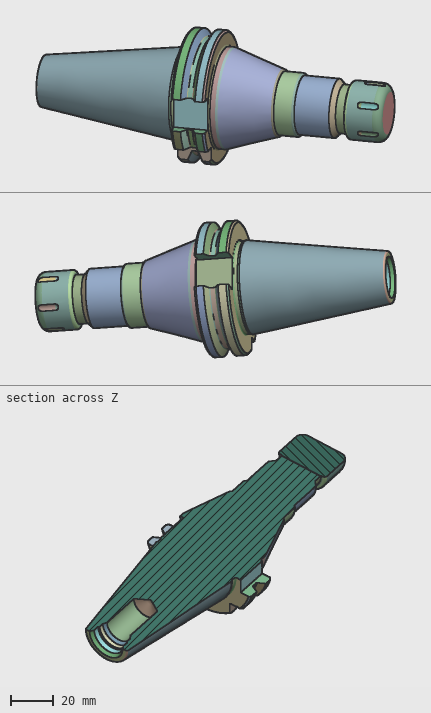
import cadquery as cq
import math

OVERALL_LENGTH = 168.2

TAPER_RATIO = 7 / 24
TAPER_END_X = 67.5
TAPER_LARGE_RADIUS = 22.2
TAPER_SMALL_RADIUS = TAPER_LARGE_RADIUS - TAPER_END_X * TAPER_RATIO / 2
SHANK_EDGE_ROUND = 0.8
RELIEF_START_X = 68.5
RELIEF_RADIUS = 21.9
RELIEF_ROOT_ROUND = 0.7

BORE_MOUTH_RADIUS = 9.8
COUNTERBORE_RADIUS = 8.5
COUNTERBORE_START_X = 2.0
COUNTERBORE_END_X = 5.0
THREAD_RADIUS = 16.0 / 2
THREAD_START_X = 5.5
THREAD_END_X = 7.9
BORE_RADIUS = 6.9
BORE_START_X = 9.8
BORE_END_X = 30.3
DRILL_POINT_ANGLE = 118.0

FLANGE_START_X = 70.8
FLANGE_END_X = 87.3
FLANGE_RADIUS = 63.5 / 2
FLANGE_CHAMFER = 1.0
GROOVE_CENTRE_X = 79.2
GROOVE_RADIUS = 56.0 / 2
GROOVE_TOP_WIDTH = 7.0
GROOVE_FLANK_ANGLE = 30.0
GROOVE_ROOT_ROUND = 0.5

DRIVE_SLOT_WIDTH = 15.6
FRONT_SLOT_FLOOR_Y = -25.0
BACK_SLOT_FLOOR_Y = 22.4
NOTCH_CORNER_Y = -18.5
NOTCH_CORNER_Z = -18.5
NOTCH_CORNER_ROUND = 0.8

COLLAR_RADIUS = 48.3 / 2
COLLAR_ROOT_ROUND = 0.8
COLLAR_BEVEL_X = 90.7
CONE_START_X = 91.9
CONE_START_RADIUS = 23.9
CONE_END_X = 115.6
CONE_END_RADIUS = 16.2
FIRST_STEP_RADIUS = 15.1
FIRST_STEP_END_X = 125.2
SECOND_STEP_RADIUS = 28.1 / 2
NECK_RADIUS = 11.6
NECK_BEVEL_START_X = 143.2
NECK_START_X = 145.7

NUT_START_X = 150.0
NUT_RADIUS = SECOND_STEP_RADIUS
NUT_BACK_ROUND = 1.5
NUT_NOSE_ROUND = 4.0

WRENCH_SLOT_COUNT = 6
WRENCH_SLOT_START_X = 156.6
WRENCH_SLOT_WIDTH = 3.2
WRENCH_SLOT_DEPTH = 0.75


def revolve_about_x(profile):
    return profile.close().revolve(360, (0, 0, 0), (1, 0, 0))


def round_edge_circle(body, x, radius, round_radius):
    """Fillet the circular edge of the given radius that lies at the given x."""
    tolerance = 0.02

    def is_wanted(edge):
        at_x = abs(edge.Center().x - x) < tolerance
        return at_x and abs(edge.radius() - radius) < tolerance

    return body.edges("%CIRCLE").filter(is_wanted).fillet(round_radius)


def box_between(x_range, y_range, z_range):
    low, high = zip(x_range, y_range, z_range)
    size = [b - a for a, b in zip(low, high)]
    return cq.Workplane("XY").box(*size, centered=False).translate(low)


def make_turned_holder():
    groove_half_top = GROOVE_TOP_WIDTH / 2
    groove_depth = FLANGE_RADIUS - GROOVE_RADIUS
    groove_half_floor = groove_half_top - groove_depth * math.tan(math.radians(GROOVE_FLANK_ANGLE))
    first_cove = CONE_END_RADIUS - FIRST_STEP_RADIUS
    second_cove = FIRST_STEP_RADIUS - SECOND_STEP_RADIUS
    rim_corner_radius = FLANGE_RADIUS - FLANGE_CHAMFER
    profile = (
        cq.Workplane("XY")
        .lineTo(0, TAPER_SMALL_RADIUS)
        .lineTo(TAPER_END_X, TAPER_LARGE_RADIUS)
        .lineTo(RELIEF_START_X, RELIEF_RADIUS)
        .lineTo(FLANGE_START_X, RELIEF_RADIUS)
        .lineTo(FLANGE_START_X, rim_corner_radius)
        .lineTo(FLANGE_START_X + FLANGE_CHAMFER, FLANGE_RADIUS)
        .lineTo(GROOVE_CENTRE_X - groove_half_top, FLANGE_RADIUS)
        .lineTo(GROOVE_CENTRE_X - groove_half_floor, GROOVE_RADIUS)
        .lineTo(GROOVE_CENTRE_X + groove_half_floor, GROOVE_RADIUS)
        .lineTo(GROOVE_CENTRE_X + groove_half_top, FLANGE_RADIUS)
        .lineTo(FLANGE_END_X - FLANGE_CHAMFER, FLANGE_RADIUS)
        .lineTo(FLANGE_END_X, rim_corner_radius)
        .lineTo(FLANGE_END_X, COLLAR_RADIUS)
        .lineTo(COLLAR_BEVEL_X, COLLAR_RADIUS)
        .lineTo(CONE_START_X, CONE_START_RADIUS)
        .lineTo(CONE_END_X, CONE_END_RADIUS)
        .radiusArc((CONE_END_X + first_cove, FIRST_STEP_RADIUS), first_cove)
        .lineTo(FIRST_STEP_END_X, FIRST_STEP_RADIUS)
        .radiusArc((FIRST_STEP_END_X + second_cove, SECOND_STEP_RADIUS), second_cove)
        .lineTo(NECK_BEVEL_START_X, SECOND_STEP_RADIUS)
        .lineTo(NECK_START_X, NECK_RADIUS)
        .lineTo(NUT_START_X, NECK_RADIUS)
        .lineTo(NUT_START_X, 0)
    )
    holder = revolve_about_x(profile)
    holder = holder.faces("<X").edges().fillet(SHANK_EDGE_ROUND)
    holder = round_edge_circle(holder, FLANGE_START_X, RELIEF_RADIUS, RELIEF_ROOT_ROUND)
    for side in (-1, 1):
        root_x = GROOVE_CENTRE_X + side * groove_half_floor
        holder = round_edge_circle(holder, root_x, GROOVE_RADIUS, GROOVE_ROOT_ROUND)
    return round_edge_circle(holder, FLANGE_END_X, COLLAR_RADIUS, COLLAR_ROOT_ROUND)


def make_drawbar_bore():
    point_length = BORE_RADIUS / math.tan(math.radians(DRILL_POINT_ANGLE / 2))
    profile = (
        cq.Workplane("XY")
        .lineTo(0, BORE_MOUTH_RADIUS)
        .lineTo(COUNTERBORE_START_X, COUNTERBORE_RADIUS)
        .lineTo(COUNTERBORE_END_X, COUNTERBORE_RADIUS)
        .lineTo(THREAD_START_X, THREAD_RADIUS)
        .lineTo(THREAD_END_X, THREAD_RADIUS)
        .lineTo(BORE_START_X, BORE_RADIUS)
        .lineTo(BORE_END_X, BORE_RADIUS)
        .lineTo(BORE_END_X + point_length, 0)
    )
    return revolve_about_x(profile)


def make_flange_cuts():
    flange_length = (FLANGE_START_X, FLANGE_END_X + COLLAR_ROOT_ROUND)
    slot_height = (-DRIVE_SLOT_WIDTH / 2, DRIVE_SLOT_WIDTH / 2)
    front_slot = box_between(flange_length, (-FLANGE_RADIUS, FRONT_SLOT_FLOOR_Y), slot_height)
    back_slot = box_between(flange_length, (BACK_SLOT_FLOOR_Y, FLANGE_RADIUS), slot_height)
    notch = box_between(
        flange_length, (-FLANGE_RADIUS, NOTCH_CORNER_Y), (-FLANGE_RADIUS, NOTCH_CORNER_Z)
    )
    notch = notch.edges("|X and >Y and >Z").fillet(NOTCH_CORNER_ROUND)
    return [front_slot, back_slot, notch]


def make_holder():
    holder = make_turned_holder().cut(make_drawbar_bore())
    for flange_cut in make_flange_cuts():
        holder = holder.cut(flange_cut)
    return holder


def make_wrench_slot():
    """Round-bottomed groove with a ball-shaped back end, at the top of the nut."""
    cutter_radius = (WRENCH_SLOT_WIDTH**2 / 4 + WRENCH_SLOT_DEPTH**2) / (2 * WRENCH_SLOT_DEPTH)
    axis_height = NUT_RADIUS - WRENCH_SLOT_DEPTH + cutter_radius
    ball_x = WRENCH_SLOT_START_X + WRENCH_SLOT_WIDTH / 2
    groove = cq.Workplane("YZ").circle(cutter_radius).extrude(OVERALL_LENGTH - ball_x)
    ball = cq.Workplane("XY").sphere(cutter_radius)
    return groove.union(ball).translate((ball_x, 0, axis_height))


def make_nut():
    length = OVERALL_LENGTH - NUT_START_X
    nut = cq.Workplane("YZ").workplane(offset=NUT_START_X).circle(NUT_RADIUS).extrude(length)
    nut = nut.faces("<X").edges().fillet(NUT_BACK_ROUND)
    nut = nut.faces(">X").edges().fillet(NUT_NOSE_ROUND)
    wrench_slot = make_wrench_slot()
    for index in range(WRENCH_SLOT_COUNT):
        angle = index * 360 / WRENCH_SLOT_COUNT
        nut = nut.cut(wrench_slot.rotate((0, 0, 0), (1, 0, 0), angle))
    return nut


holder = make_holder()
nut = make_nut()
result = cq.Compound.makeCompound([holder.val(), nut.val()])